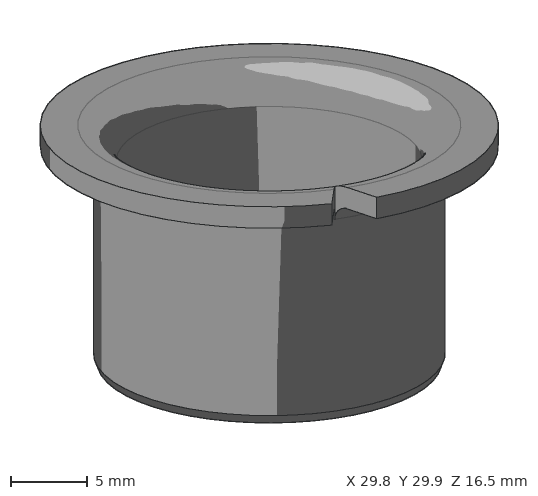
import cadquery as cq
import math

height = 16.5
flange_radius = 14.95
flange_thickness = 1.5
bore_radius = 10.0
wall_thickness = 1.5
bend_inner_radius = 1.02
lead_in_height = 0.6
lead_in_angle = 20.0
notch_half_angle = 25.0

tube_radius = bore_radius + wall_thickness
bend_outer_radius = bend_inner_radius + wall_thickness
lead_in_width = lead_in_height * math.tan(math.radians(lead_in_angle))
flange_bottom = height - flange_thickness


def arc_middle(center_r, center_z, radius):
    """Midpoint of the quarter arc on the side facing the axis and the top."""
    offset = radius * math.sqrt(0.5)
    return center_r - offset, center_z + offset


def bushing_body():
    """Revolve the wall section, with a rounded bend from tube to flange."""
    bend_r = bore_radius + bend_outer_radius
    bend_z = height - bend_outer_radius
    section = (
        cq.Workplane("XZ")
        .moveTo(bore_radius, 0)
        .lineTo(tube_radius - lead_in_width, 0)
        .lineTo(tube_radius, lead_in_height)
        .lineTo(tube_radius, bend_z)
        .threePointArc(arc_middle(bend_r, bend_z, bend_inner_radius), (bend_r, flange_bottom))
        .lineTo(flange_radius, flange_bottom)
        .lineTo(flange_radius, height)
        .lineTo(bend_r, height)
        .threePointArc(arc_middle(bend_r, bend_z, bend_outer_radius), (bore_radius, bend_z))
        .close()
    )
    return section.revolve(360, (0, 0, 0), (0, 1, 0))


def flange_notch():
    """V-shaped cutter on +X, with its tip at the outside of the tube."""
    half_width = (flange_radius - tube_radius) * math.tan(math.radians(notch_half_angle))
    return (
        cq.Workplane("XY")
        .moveTo(tube_radius, 0)
        .lineTo(flange_radius, half_width)
        .lineTo(flange_radius, -half_width)
        .close()
        .extrude(height)
    )


result = bushing_body().cut(flange_notch())